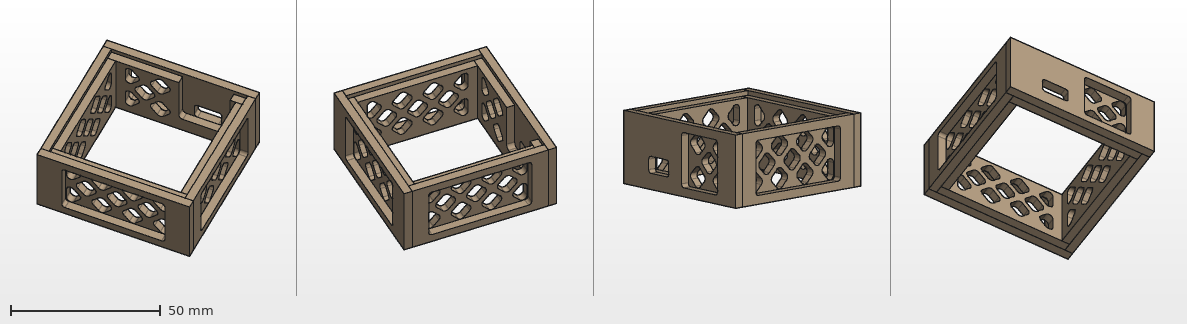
import cadquery as cq
import math

FRAME_SIZE = 56.0
FRAME_HEIGHT = 25.0
OUTER_WALL = 3.0
INNER_WALL = 2.95
INNER_DROP = 1.55
INNER_HEIGHT = FRAME_HEIGHT - INNER_DROP
MID_HEIGHT = FRAME_HEIGHT / 2

LINING_SIZE = FRAME_SIZE - 2 * OUTER_WALL
CLEAR_SIZE = LINING_SIZE - 2 * INNER_WALL

WINDOW_WIDTH = 37.8
WINDOW_HEIGHT = 18.8
WINDOW_RADIUS = 1.2

DIAMOND_SIDE = 6.0
STRUT_WIDTH = 2.0
DIAMOND_RADIUS = 1.5
DIAMOND_CORE = (DIAMOND_SIDE - 2 * DIAMOND_RADIUS) / math.sqrt(2)
COLUMN_PITCH = (DIAMOND_SIDE + STRUT_WIDTH) / math.sqrt(2)
LAST_COLUMN = 3

OPENING_X = 10.5
OPENING_FLOOR = 5.55
NOTCH_WIDTH = 18.8
NOTCH_RADIUS = 1.5
PORT_WIDTH = 9.95
PORT_HEIGHT = 5.75
PORT_RADIUS = 1.1

BACK_LAST_COLUMN = -1
BACK_WINDOW_END = -0.9


def upright_plate(length, thickness, height):
    """Plate standing on Z = 0, its length along X, centred on the Z axis."""
    return cq.Workplane("XY").box(length, thickness, height, centered=(True, True, False))


def rounded_cutter(x_start, x_end, z_start, z_end, radius):
    """Bar along Y with rounded long edges, deep enough to pass through any plate."""
    bar = cq.Workplane("XY").box(x_end - x_start, FRAME_SIZE, z_end - z_start)
    center = ((x_start + x_end) / 2, 0, (z_start + z_end) / 2)
    return bar.edges("|Y").fillet(radius).translate(center)


def diamond_cutter(column, row):
    """Rounded diamond bar along Y: a sharp core profile grown outward by the corner radius.

    The end columns keep only the inward half of the core, so those holes end in a straight side.
    """
    corners = [(0, DIAMOND_CORE)]
    if column < LAST_COLUMN:
        corners.append((DIAMOND_CORE, 0))
    corners.append((0, -DIAMOND_CORE))
    if column > -LAST_COLUMN:
        corners.append((-DIAMOND_CORE, 0))
    profile = cq.Workplane("XZ").polyline(corners).close().offset2D(DIAMOND_RADIUS)
    cutter = profile.extrude(FRAME_SIZE / 2, both=True)
    return cutter.translate((column * COLUMN_PITCH, 0, MID_HEIGHT + row * COLUMN_PITCH))


def cut_lattice(plate, last_column):
    """Cut staggered diamonds: odd columns hold two holes, even columns one at mid height."""
    for column in range(-LAST_COLUMN, last_column + 1):
        rows = (-1, 1) if column % 2 else (0,)
        for row in rows:
            plate = plate.cut(diamond_cutter(column, row))
    return plate


def outer_plate(length, window_end=WINDOW_WIDTH / 2):
    window = rounded_cutter(
        -WINDOW_WIDTH / 2,
        window_end,
        MID_HEIGHT - WINDOW_HEIGHT / 2,
        MID_HEIGHT + WINDOW_HEIGHT / 2,
        WINDOW_RADIUS,
    )
    return upright_plate(length, OUTER_WALL, FRAME_HEIGHT).cut(window)


def inner_plate(length, last_column=LAST_COLUMN):
    return cut_lattice(upright_plate(length, INNER_WALL, INNER_HEIGHT), last_column)


def back_outer_plate():
    port = rounded_cutter(
        OPENING_X - PORT_WIDTH / 2,
        OPENING_X + PORT_WIDTH / 2,
        OPENING_FLOOR,
        OPENING_FLOOR + PORT_HEIGHT,
        PORT_RADIUS,
    )
    return outer_plate(FRAME_SIZE, BACK_WINDOW_END).cut(port)


def back_inner_plate():
    notch = rounded_cutter(
        OPENING_X - NOTCH_WIDTH / 2,
        OPENING_X + NOTCH_WIDTH / 2,
        OPENING_FLOOR,
        2 * FRAME_HEIGHT,
        NOTCH_RADIUS,
    )
    return inner_plate(LINING_SIZE, BACK_LAST_COLUMN).cut(notch)


def side_pair(plate, offset):
    """Two copies of a plate turned to run along Y, one at each X side."""
    turned = plate.rotate((0, 0, 0), (0, 0, 1), 90)
    return [turned.translate((side * offset, 0, 0)).val() for side in (-1, 1)]


OUTER_OFFSET = (FRAME_SIZE - OUTER_WALL) / 2
INNER_OFFSET = (LINING_SIZE - INNER_WALL) / 2

front_outer = outer_plate(FRAME_SIZE).translate((0, -OUTER_OFFSET, 0))
back_outer = back_outer_plate().translate((0, OUTER_OFFSET, 0))
side_outers = side_pair(outer_plate(LINING_SIZE), OUTER_OFFSET)

front_inner = inner_plate(LINING_SIZE).translate((0, -INNER_OFFSET, 0))
back_inner = back_inner_plate().translate((0, INNER_OFFSET, 0))
side_inners = side_pair(inner_plate(CLEAR_SIZE), INNER_OFFSET)

result = cq.Compound.makeCompound([
    front_outer.val(),
    back_outer.val(),
    *side_outers,
    front_inner.val(),
    back_inner.val(),
    *side_inners,
])